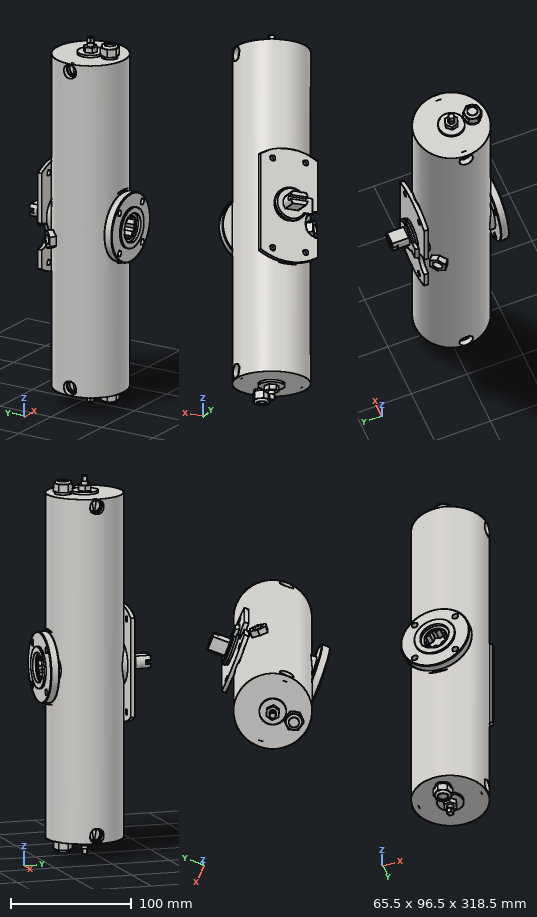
import cadquery as cq
import math


total_length = 318.5
tube_length = 290.5
tube_diameter = 65.0
seat_depth = 1.0
tube_end = tube_length / 2
seat_distance = tube_diameter / 2 - seat_depth

collar_diameter = 22.3
collar_height = 2.0
lock_nut_corners = 11.8
lock_nut_height = 4.5
screw_diameter = 5.7
screw_square = 4.5
screw_square_length = 4.5
screw_height = total_length / 2 - tube_end
screw_angle = -15.0

gland_offset = 18.8
gland_angle = 15.0
gland_corners = 16.0
gland_hex_height = 7.0
gland_diameter = 13.5
gland_height = 10.8
gland_rounding = 1.0
bore_diameter = 8.5
gland_bore_depth = 1.0

cross_hole_distance = 6.7
cross_hole_diameter = 12.0
cross_hole_depth = 5.0
inner_hole_diameter = 10.2
inner_hole_depth = 8.0
slit_top_width = 3.8
slit_bottom_width = 1.0
slit_height = 9.0

neck_diameter = 37.0
flange_diameter = 60.0
flange_back = 31.8
flange_face = 39.5
flange_chamfer = 0.5
boss_diameter = 35.0
boss_face = 41.0
flange_seat_diameter = 63.0
flange_hole_diameter = 5.0
bolt_circle_diameter = 50.0
recess_diameter = 25.0
recess_depth = 2.5
mouth_diameter = 19.7
mouth_depth = 3.5
socket_square = 13.7
socket_turn = 22.5
socket_depth = 12.7

plate_diameter = 98.7
plate_width = 52.2
plate_face = 35.5
plate_seat_diameter = 100.5
plate_hole_diameter = 4.8
plate_hole_x = 15.0
plate_hole_z = 39.2
notch_radius = 11.5

hub_diameter = 27.5
cap_diameter = 28.5
cap_back = 37.3
cap_face = 40.5
cap_chamfer = 1.3
pointer_reach = 20.5
pointer_width = 13.5
pointer_slope = 2.0
shaft_diameter = 16.0
shaft_flats = 10.8
shaft_tip = 55.5
slot_width = 3.5
slot_depth = 4.5

side_port_angle = 139.5
side_port_reach = 37.5
side_port_z = -13.7
side_port_corners = 16.0
side_port_bore_depth = 12.7


def along_y(diameter, start, end):
    """Cylinder about the drive axis between two Y positions."""
    plane = cq.Workplane("XZ", origin=(0, start, 0))
    return plane.circle(diameter / 2).extrude(start - end)


def hexagon(corners, height, angle):
    """Hexagonal prism standing level with the collar top, turned about the tube axis."""
    prism = cq.Workplane("XY").workplane(offset=tube_end + collar_height).polygon(6, corners).extrude(height)
    return prism.rotate((0, 0, 0), (0, 0, 1), angle)


def make_tube():
    tube = cq.Workplane("XY").workplane(offset=-tube_end).circle(tube_diameter / 2).extrude(tube_length)
    tube = tube.cut(along_y(flange_seat_diameter, -seat_distance, -tube_diameter))
    return tube.cut(along_y(plate_seat_diameter, seat_distance, tube_diameter))


def make_adjusting_screw():
    level = cq.Workplane("XY").workplane(offset=tube_end)
    screw = level.circle(collar_diameter / 2).extrude(collar_height)
    screw = screw.union(hexagon(lock_nut_corners, lock_nut_height, screw_angle))
    round_height = screw_height - screw_square_length
    screw = screw.union(level.circle(screw_diameter / 2).extrude(round_height))
    tip_level = cq.Workplane("XY").workplane(offset=tube_end + round_height)
    tip = tip_level.circle(screw_diameter / 2).extrude(screw_square_length)
    square = tip_level.rect(screw_square, screw_square).extrude(screw_square_length)
    square = square.rotate((0, 0, 0), (0, 0, 1), screw_angle)
    return screw.union(tip.intersect(square))


def make_gland():
    level = cq.Workplane("XY").workplane(offset=tube_end)
    gland = level.circle(gland_diameter / 2).extrude(gland_height)
    gland = gland.faces(">Z").edges().fillet(gland_rounding)
    gland = gland.union(hexagon(gland_corners, gland_hex_height, gland_angle))
    bore_level = level.workplane(offset=gland_height - gland_bore_depth)
    gland = gland.cut(bore_level.circle(bore_diameter / 2).extrude(gland_bore_depth))
    return gland.translate((0, -gland_offset, 0))


def make_cross_hole(z):
    """Stepped hole in both sides of the tube, joined by a tapered slit through it."""
    side = tube_diameter / 2
    plane = cq.Workplane("YZ", origin=(-side, 0, z))
    outer = plane.circle(cross_hole_diameter / 2).extrude(cross_hole_depth)
    inner = plane.circle(inner_hole_diameter / 2).extrude(inner_hole_depth)
    hole = outer.union(inner)
    slit_profile = [
        (-slit_bottom_width / 2, -slit_height / 2),
        (slit_bottom_width / 2, -slit_height / 2),
        (slit_top_width / 2, slit_height / 2),
        (-slit_top_width / 2, slit_height / 2),
    ]
    slit = plane.polyline(slit_profile).close().extrude(tube_diameter)
    return hole.union(hole.mirror("YZ")).union(slit)


def make_flange():
    flange = along_y(flange_diameter, -flange_back, -flange_face).edges().chamfer(flange_chamfer)
    flange = flange.union(along_y(boss_diameter, -flange_face, -boss_face))
    flange = flange.union(along_y(neck_diameter, 0, -flange_back))
    hole_spacing = bolt_circle_diameter / math.sqrt(2)
    holes = (
        cq.Workplane("XZ", origin=(0, -flange_back, 0))
        .rect(hole_spacing, hole_spacing, forConstruction=True)
        .vertices()
        .circle(flange_hole_diameter / 2)
        .extrude(flange_face - flange_back)
    )
    return flange.cut(holes)


def make_socket():
    """Stepped round recess followed by an eight-pointed double-square socket."""
    socket = along_y(recess_diameter, recess_depth - boss_face, -boss_face)
    socket = socket.union(along_y(mouth_diameter, mouth_depth - boss_face, -boss_face))
    square = (
        cq.Workplane("XZ", origin=(0, socket_depth - boss_face, 0))
        .rect(socket_square, socket_square)
        .extrude(socket_depth)
    )
    for angle in (-socket_turn, socket_turn):
        socket = socket.union(square.rotate((0, 0, 0), (0, 1, 0), angle))
    return socket


def make_plate():
    plate = along_y(plate_diameter, seat_distance, plate_face)
    plate = plate.intersect(cq.Workplane("XY").box(plate_width, total_length, total_length))
    thickness = plate_face - seat_distance
    face = cq.Workplane("XZ", origin=(0, plate_face, 0))
    holes = (
        face.rect(2 * plate_hole_x, 2 * plate_hole_z, forConstruction=True)
        .vertices()
        .circle(plate_hole_diameter / 2)
        .extrude(thickness)
    )
    notch = face.center(-plate_width / 2, side_port_z).circle(notch_radius).extrude(thickness)
    plate = plate.cut(holes).cut(notch)
    return plate.union(along_y(neck_diameter, 0, seat_distance))


def make_indicator():
    hub = along_y(hub_diameter, plate_face, cap_back)
    cap = along_y(cap_diameter, cap_back, cap_face).faces(">Y").edges().chamfer(cap_chamfer)
    pointer = (
        cq.Workplane("XY")
        .workplane(offset=-pointer_width / 2)
        .moveTo(0, cap_back)
        .lineTo(-pointer_reach, cap_back)
        .lineTo(-pointer_reach + pointer_slope, cap_face)
        .lineTo(0, cap_face)
        .close()
        .extrude(pointer_width)
    )
    return hub.union(cap).union(pointer)


def make_shaft():
    shaft = along_y(shaft_diameter, plate_face, shaft_tip)
    shaft = shaft.intersect(cq.Workplane("XY").box(shaft_diameter, total_length, shaft_flats))
    slot = cq.Workplane("XY").box(shaft_diameter, 2 * slot_depth, slot_width)
    return shaft.cut(slot.translate((0, shaft_tip, 0)))


def make_side_port():
    angle = math.radians(side_port_angle)
    outward = (math.cos(angle), math.sin(angle), 0)
    start = cq.Plane(origin=(0, 0, side_port_z), xDir=(0, 0, 1), normal=outward)
    level = cq.Workplane(start)
    port = level.polygon(6, side_port_corners).extrude(side_port_reach)
    bore_level = level.workplane(offset=side_port_reach - side_port_bore_depth)
    return port.cut(bore_level.circle(bore_diameter / 2).extrude(side_port_bore_depth))


body = make_tube()
for hole_z in (cross_hole_distance - tube_end, tube_end - cross_hole_distance):
    body = body.cut(make_cross_hole(hole_z))

for fitting in (make_adjusting_screw(), make_gland()):
    body = body.union(fitting).union(fitting.mirror("XY"))

body = body.union(make_flange()).cut(make_socket())
body = body.union(make_plate()).union(make_indicator()).union(make_shaft())

result = body.union(make_side_port())